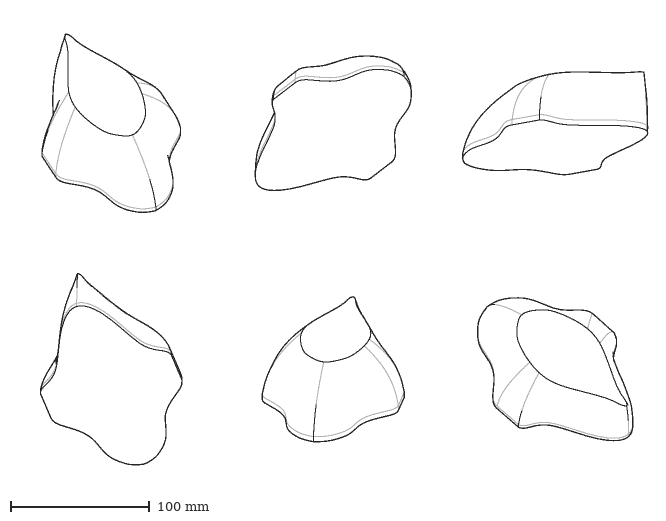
import cadquery as cq

length = 144.3
width = 100.0
half_width = width / 2
height = 46.2
band_height = 4.2

shoulder_start = 62.0
shoulder_end = 83.7

top_tip = 2.0
top_end = 107.4
top_widest = 64.2
top_half_width = 25.0

front_seams = (51.1, 65.5)
back_seams = (65.8, 76.5)

full_lean = 0.25
bend = 0.35

section_count = 7
points_per_stretch = 16
halvings = 40

nose_points = [
    (0, 0), (0.5, 2.9), (1.7, 5.6), (4.6, 9.2), (15.9, 17.6), (28.9, 24.1), (41.8, 30.2), (49.6, 35.4),
    (54.8, 41.8), (58.3, 47.6), (59.9, 49.4), (shoulder_start, half_width),
]
tail_points = [
    (shoulder_end, half_width), (86.1, 49.6), (88.6, 48.6), (93.8, 43.9), (99.0, 37.5), (104.2, 32.3),
    (112.0, 27.5), (122.4, 24.5), (130.2, 21.2), (138.0, 14.3), (140.8, 10.4), (142.7, 6.2), (143.9, 3.0), (length, 0),
]
top_points = [
    (top_tip, 0), (2.3, 1.0), (3.5, 1.7), (8.1, 3.0), (15.9, 5.5), (26.3, 10.5), (39.2, 17.5), (52.2, 23.1),
    (top_widest, top_half_width), (78.2, 23.1), (91.2, 18.8), (97.3, 15.3), (101.6, 11.1),
    (105.3, 6.0), (106.9, 2.9), (top_end, 0),
]

knots = [i / (points_per_stretch - 1) for i in range(points_per_stretch)]


def smooth_edge(points):
    """Spline through the points."""
    return cq.Edge.makeSpline([cq.Vector(x, y, 0) for x, y in points])


def fraction_at_x(edge, x):
    """Fraction of the edge's length at which it reaches x; x grows along the edge."""
    low, high = 0.0, 1.0
    for _ in range(halvings):
        middle = (low + high) / 2
        if edge.positionAt(middle).x < x:
            low = middle
        else:
            high = middle
    return low


def sample(edge, start=0.0, end=1.0):
    """Evenly spaced points along part of an edge."""
    return [edge.positionAt(start + (end - start) * knot) for knot in knots]


nose_edge = smooth_edge(nose_points)
shoulder_edge = cq.Edge.makeLine(
    cq.Vector(shoulder_start, half_width, 0), cq.Vector(shoulder_end, half_width, 0)
)
tail_edge = smooth_edge(tail_points)
top_edge = smooth_edge(top_points)


def paired_stretches(seams):
    """Base and top points of the nose, shoulder and tail stretches of one side."""
    breaks = [0.0] + [fraction_at_x(top_edge, x) for x in seams] + [1.0]
    return [
        (sample(edge), sample(top_edge, start, end))
        for edge, start, end in zip((nose_edge, shoulder_edge, tail_edge), breaks, breaks[1:])
    ]


def inset(t, lean):
    """Share of the way from base outline to top outline covered at height fraction t."""
    return lean * t + bend * t**2 + (1 - lean - bend) * t**3


def side_points(stretches, side, t):
    """Points along one side, stretch by stretch, at height fraction t between the band and the top."""
    z = band_height + (height - band_height) * t
    full_leans = [full_lean] * points_per_stretch
    nose_leans = [full_lean * knot for knot in knots]
    stretches_at_t = []
    for (base, top), leans in zip(stretches, (nose_leans, full_leans, full_leans)):
        blended = [b + (p - b) * inset(t, lean) for b, p, lean in zip(base, top, leans)]
        stretches_at_t.append([cq.Vector(v.x, side * v.y, z) for v in blended])
    return stretches_at_t


front_stretches = paired_stretches(front_seams)
back_stretches = paired_stretches(back_seams)


def section(t):
    """Closed section wire, tip to tail along -Y and back along +Y."""
    front = side_points(front_stretches, -1, t)
    back = [points[::-1] for points in reversed(side_points(back_stretches, 1, t))]
    edges = [cq.Edge.makeSpline(points, parameters=knots) for points in front + back]
    return cq.Wire.assembleEdges(edges)


sections = [section(i / (section_count - 1)) for i in range(section_count)]

body = cq.Solid.makeLoft(sections)

band = cq.Solid.extrudeLinear(sections[0], [], cq.Vector(0, 0, -band_height))

result = cq.Workplane(band).union(cq.Workplane(body))